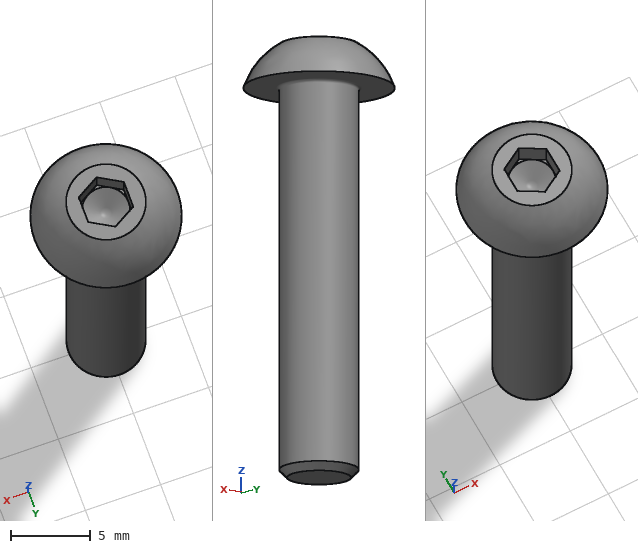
import cadquery as cq
import math

total_length = 27.75
head_diameter = 9.5
head_height = 2.75
head_top_diameter = 5.0
shank_diameter = 5.0
neck_fillet = 0.2
tip_chamfer = 0.5
socket_width = 3.0
socket_depth = 1.55
drill_point_angle = 120.0

head_radius = head_diameter / 2
head_top_radius = head_top_diameter / 2
shank_radius = shank_diameter / 2
shank_length = total_length - head_height

dome_radius = 5.2


def dome_midpoint():
    """Point (radius, height) halfway along the dome arc."""
    chord_x = head_top_radius - head_radius
    chord = math.hypot(chord_x, head_height)
    bulge = dome_radius - math.sqrt(dome_radius**2 - (chord / 2) ** 2)
    radius = (head_radius + head_top_radius) / 2 + bulge * head_height / chord
    height = shank_length + head_height / 2 - bulge * chord_x / chord
    return radius, height


def make_body():
    """Revolve the half outline of the head and shank."""
    tip_radius = shank_radius - tip_chamfer
    fillet_middle = neck_fillet * (1 - math.sqrt(0.5))
    outline = (
        cq.Workplane("XZ")
        .lineTo(tip_radius, 0)
        .lineTo(shank_radius, tip_chamfer)
        .lineTo(shank_radius, shank_length - neck_fillet)
        .threePointArc(
            (shank_radius + fillet_middle, shank_length - fillet_middle),
            (shank_radius + neck_fillet, shank_length),
        )
        .lineTo(head_radius, shank_length)
        .threePointArc(dome_midpoint(), (head_top_radius, total_length))
        .lineTo(0, total_length)
        .close()
    )
    return outline.revolve(360, (0, 0, 0), (0, 1, 0))


def make_socket():
    """Hexagonal recess with corners on the Y axis and a conical bottom."""
    floor = total_length - socket_depth
    corner_diameter = socket_width / math.cos(math.radians(30))
    hexagon = (
        cq.Workplane("XY", origin=(0, 0, floor))
        .transformed(rotate=(0, 0, 90))
        .polygon(6, corner_diameter)
        .extrude(socket_depth)
    )
    cone_radius = socket_width / 2
    cone_depth = cone_radius / math.tan(math.radians(drill_point_angle / 2))
    cone = (
        cq.Workplane("XZ", origin=(0, 0, floor))
        .lineTo(cone_radius, 0)
        .lineTo(0, -cone_depth)
        .close()
        .revolve(360, (0, 0, 0), (0, 1, 0))
    )
    return hexagon.union(cone)


result = make_body().cut(make_socket())